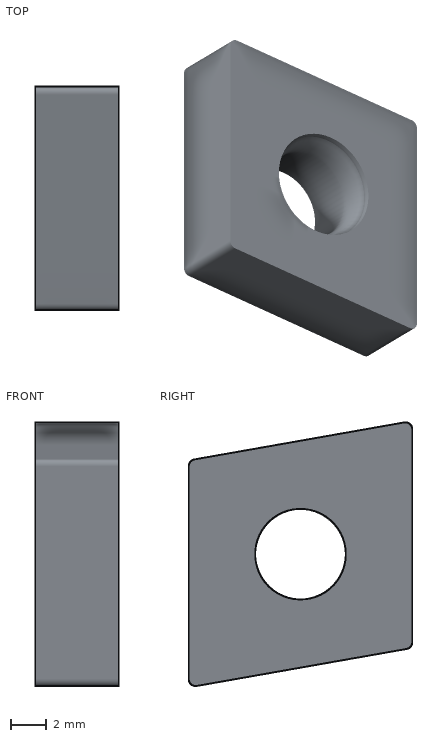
import cadquery as cq
import math

thickness = 4.76
inscribed_diameter = 12.7
acute_angle = 80.0
corner_radius = 0.4

bore_diameter = 5.13
mouth_diameter = 6.09
throat_diameter = 6.0
mouth_depth = 0.35
countersink_depth = 1.77

half_width = inscribed_diameter / 2
side_length = inscribed_diameter / math.sin(math.radians(acute_angle))
edge_rise = half_width / math.tan(math.radians(acute_angle))


def make_plate():
    """Rhombic plate with two sides parallel to Z and rounded corners."""
    half_side = side_length / 2
    corners = [
        (half_width, edge_rise + half_side),
        (half_width, edge_rise - half_side),
        (-half_width, -edge_rise - half_side),
        (-half_width, -edge_rise + half_side),
    ]
    plate = cq.Workplane("YZ").polyline(corners).close().extrude(thickness)
    return plate.edges("|X").fillet(corner_radius)


def make_hole_cutter():
    """Body of revolution about X: slightly tapered mouth, arc tangent to the bore, bore."""
    bore_radius = bore_diameter / 2
    mouth_radius = mouth_diameter / 2
    throat_radius = throat_diameter / 2
    arc_length = countersink_depth - mouth_depth
    arc_drop = throat_radius - bore_radius
    arc_radius = (arc_length**2 + arc_drop**2) / (2 * arc_drop)
    half_sweep = math.asin(arc_length / arc_radius) / 2
    arc_middle = (
        countersink_depth - arc_radius * math.sin(half_sweep),
        bore_radius + arc_radius * (1 - math.cos(half_sweep)),
    )
    profile = (
        cq.Workplane("XY")
        .lineTo(0, mouth_radius)
        .lineTo(mouth_depth, throat_radius)
        .threePointArc(arc_middle, (countersink_depth, bore_radius))
        .lineTo(thickness, bore_radius)
        .lineTo(thickness, 0)
        .close()
    )
    return profile.revolve(360, (0, 0, 0), (1, 0, 0))


result = make_plate().cut(make_hole_cutter())